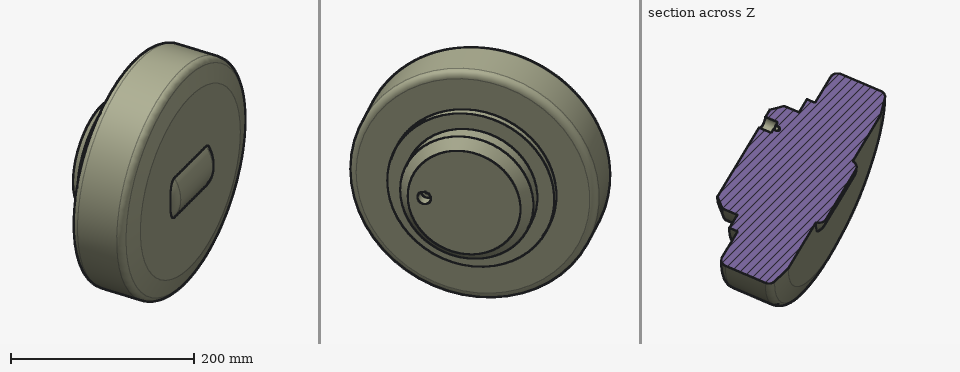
import cadquery as cq
import math

pin_radius = 75.0
pin_chamfer_length = 12.0
pin_face_radius = 63.5
pin_length = 30.0

washer_radius = 94.0
washer_thickness = 10.0

wheel_radius = 140.0
wheel_width = 71.5
rim_fillet = 8.5
cone_angle = math.radians(15)
cone_small_radius = 112.0

roller_radius = 46.0
roller_length = 89.5
roller_fillet = 9.0
roller_projection = 8.0

hole_offset = 45.0
hole_bore_diameter = 15.0
hole_bore_depth = 15.0
hole_drill_diameter = 5.0
hole_drill_depth = 20.0
drill_tip_half_angle = math.radians(59)

wheel_start = pin_length + washer_thickness
wheel_end = wheel_start + wheel_width
cone_start = wheel_end - (wheel_radius - cone_small_radius) * math.tan(cone_angle)


def make_turned_body():
    """Pin, washer and wheel with its conical outer face and rounded rim."""
    outline = [
        (0, 0),
        (0, pin_face_radius),
        (pin_chamfer_length, pin_radius),
        (pin_length, pin_radius),
        (pin_length, washer_radius),
        (wheel_start, washer_radius),
        (wheel_start, wheel_radius),
        (cone_start, wheel_radius),
        (wheel_end, cone_small_radius),
        (wheel_end, 0),
    ]
    body = cq.Workplane("XY").polyline(outline).close().revolve(360, (0, 0, 0), (1, 0, 0))
    return round_rim(body)


def round_rim(body):
    """Round both edges of the tread."""
    rim_edges = cq.selectors.RadiusNthSelector(-1)
    return body.edges("%CIRCLE").edges(rim_edges).fillet(rim_fillet)


def make_side_roller():
    """Roller with rounded ends whose crown stands proud of the wheel's outer face."""
    axis_x = wheel_end + roller_projection - roller_radius
    return (
        cq.Workplane("XZ", origin=(axis_x, 0, 0))
        .circle(roller_radius)
        .extrude(roller_length / 2, both=True)
        .edges("%CIRCLE")
        .fillet(roller_fillet)
    )


def make_lubrication_hole():
    """Flat-bottomed bore followed by a narrower drilling with a conical tip."""
    bore_radius = hole_bore_diameter / 2
    drill_radius = hole_drill_diameter / 2
    tip_depth = hole_drill_depth + drill_radius / math.tan(drill_tip_half_angle)
    outline = [
        (0, 0),
        (0, bore_radius),
        (hole_bore_depth, bore_radius),
        (hole_bore_depth, drill_radius),
        (hole_drill_depth, drill_radius),
        (tip_depth, 0),
    ]
    cutter = cq.Workplane("XY").polyline(outline).close().revolve(360, (0, 0, 0), (1, 0, 0))
    return cutter.translate((0, hole_offset, 0))


result = make_turned_body().union(make_side_roller()).cut(make_lubrication_hole())